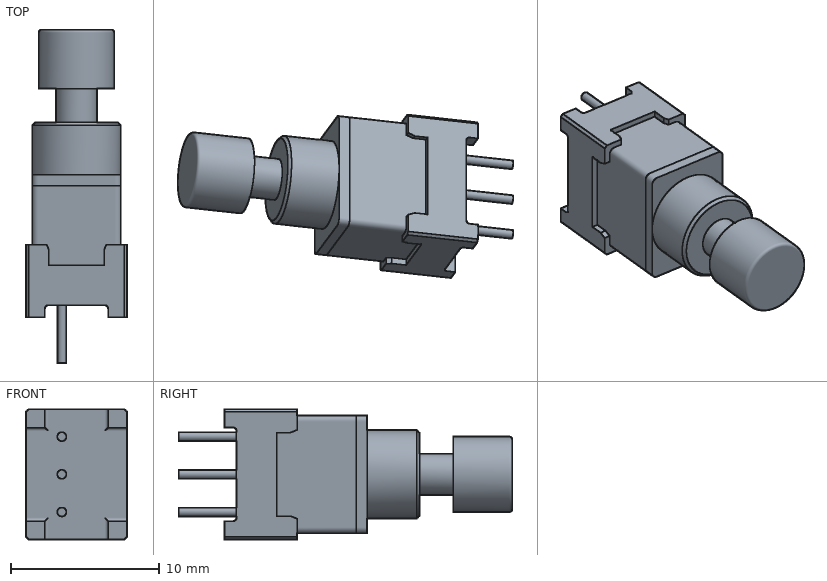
import cadquery as cq

total_length = 22.5
pin_tip_y = -total_length / 2
cap_top_y = total_length / 2
pin_length = 3.9
foot_height = 0.8
base_length = 4.9
housing_exposed_length = 3.98
plate_thickness = 0.75
bushing_length = 3.53
cap_length = 3.98
base_floor_y = pin_tip_y + pin_length
foot_y = base_floor_y - foot_height
base_top_y = foot_y + base_length
plate_bottom_y = base_top_y + housing_exposed_length
plate_top_y = plate_bottom_y + plate_thickness
bushing_top_y = plate_top_y + bushing_length
cap_bottom_y = cap_top_y - cap_length

cap_diameter = 5.1
cap_edge_radius = 0.2
stem_diameter = 2.8
bushing_diameter = 5.98
bushing_chamfer = 0.2

housing_width = 5.98
housing_height = 7.96
housing_corner_radius = 0.4

base_width = 6.82
base_height = 8.8
base_corner_chamfer = 0.18
notch_depth = 1.37
notch_width_x = 3.74
notch_width_z = 5.62
notch_flare_x = 0.14
notch_flare_z = 0.18
notch_flare_depth_x = 0.35
notch_flare_depth_z = 0.47

channel_width_x = 4.25
channel_width_z = 6.3
channel_corner_radius = 0.22

pin_diameter = 0.6
pin_x = -1.0
pin_pitch = 2.55
pin_count = 3


def prism_along_y(width, height, y_start, y_end):
    """Rectangular bar centred on the Y axis between two Y levels."""
    return (
        cq.Workplane("XZ", origin=(0, y_start, 0))
        .rect(width, height)
        .extrude(y_start - y_end)
    )


def cylinder_along_y(diameter, y_start, y_end, x=0.0, z=0.0):
    """Round bar parallel to the Y axis between two Y levels."""
    return (
        cq.Workplane("XZ", origin=(x, y_start, z))
        .circle(diameter / 2)
        .extrude(y_start - y_end)
    )


def rounded_section(y_start, y_end):
    """Bar with the rounded cross-section of the housing and the plate."""
    bar = prism_along_y(housing_width, housing_height, y_start, y_end)
    return bar.edges("|Y").fillet(housing_corner_radius)


def make_button_head():
    """Cap, stem, bushing and plate as one body."""
    cap = cylinder_along_y(cap_diameter, cap_bottom_y, cap_top_y)
    cap = cap.faces(">Y").edges().fillet(cap_edge_radius)
    stem = cylinder_along_y(stem_diameter, bushing_top_y, cap_bottom_y)
    bushing = cylinder_along_y(bushing_diameter, plate_top_y, bushing_top_y)
    bushing = bushing.faces(">Y").edges().chamfer(bushing_chamfer)
    plate = rounded_section(plate_bottom_y, plate_top_y)
    return plate.union(bushing).union(stem).union(cap)


def through_notch(plane, width, flare, flare_depth, length):
    """Notch cutter with flared mouth, open at the top of the base."""
    half = width / 2
    floor_y = base_top_y - notch_depth
    flare_y = base_top_y - flare_depth
    outline = [
        (-half, floor_y),
        (half, floor_y),
        (half, flare_y),
        (half + flare, base_top_y),
        (-half - flare, base_top_y),
        (-half, flare_y),
    ]
    return cq.Workplane(plane).polyline(outline).close().extrude(length / 2, both=True)


def foot_channel(width, height, edges):
    """Channel cutter between the feet, rounded along its floor corners."""
    channel = prism_along_y(width, height, foot_y, base_floor_y)
    return channel.faces(">Y").edges(edges).fillet(channel_corner_radius)


def make_housing():
    """Housing bar with its surrounding base and four feet as one body."""
    base = prism_along_y(base_width, base_height, foot_y, base_top_y)
    base = base.edges("|Y").chamfer(base_corner_chamfer)
    notch_x = through_notch("XY", notch_width_x, notch_flare_x, notch_flare_depth_x, base_height)
    base = base.cut(notch_x)
    notch_z = through_notch("ZY", notch_width_z, notch_flare_z, notch_flare_depth_z, base_width)
    base = base.cut(notch_z)
    base = base.cut(foot_channel(channel_width_x, base_height, "|Z"))
    base = base.cut(foot_channel(base_width, channel_width_z, "|X"))
    return base.union(rounded_section(base_floor_y, plate_bottom_y))


def make_pin(z):
    """Terminal pin standing on the floor of the base."""
    return cylinder_along_y(pin_diameter, pin_tip_y, base_floor_y, pin_x, z)


button_head = make_button_head()
housing = make_housing()
pins = []
for index in range(pin_count):
    pin_z = (index - (pin_count - 1) / 2) * pin_pitch
    pins.append(make_pin(pin_z).val())

result = cq.Compound.makeCompound([button_head.val(), housing.val(), *pins])